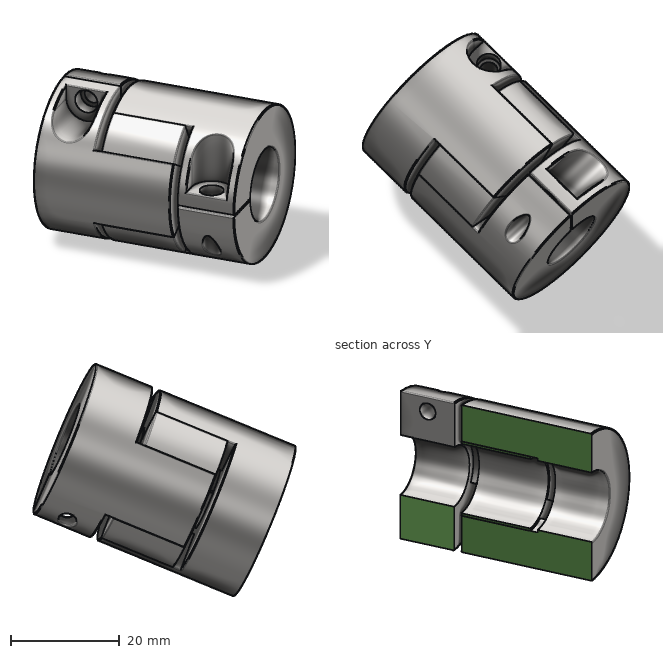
import cadquery as cq
import math


length = 40.0
outer_radius = 15.0
collar_length = 11.3
end_gap = 1.5
edge_radius = 0.2

spider_start = collar_length + end_gap
spider_length = length - 2 * spider_start
jaw_inner_radius = outer_radius / 2
jaw_half_angle = 30.0
leg_half_angle = 45 - jaw_half_angle
left_bore_radius = 6.0
right_bore_radius = 7.0
spider_bore_radius = right_bore_radius
jaw_angles = (0, 180)
leg_angles = (45, 135, 225, 315)

slit_width = 0.4
screw_x = collar_length / 2
screw_z = 12.0
clearance_radius = 2.25
tapped_radius = 1.65
pocket_radius = 4.0
pocket_floor_y = -3.0


def tube(start_x, tube_length, outer, inner):
    """Hollow cylinder along X, its seam line at +Z."""
    plane = cq.Plane(origin=(start_x, 0, 0), xDir=(0, 0, 1), normal=(1, 0, 0))
    return cq.Workplane(plane).circle(outer).circle(inner).extrude(tube_length)


def wedge(start_x, wedge_length, centre_angle, half_angle):
    """Triangular prism along X with its tip on the axis, wide enough to cut a sector out of a tube.

    Angles are in degrees from +Y towards +Z.
    """
    reach = 2 * outer_radius
    sides = [math.radians(centre_angle + turn) for turn in (-half_angle, half_angle)]
    corners = [(reach * math.cos(side), reach * math.sin(side)) for side in sides]
    return cq.Workplane("YZ", origin=(start_x, 0, 0)).polyline([(0, 0)] + corners).close().extrude(wedge_length)


def y_cylinder(start_y, end_y, radius):
    """Cylinder along Y on the screw axis."""
    plane = cq.Plane(origin=(screw_x, start_y, screw_z), xDir=(1, 0, 0), normal=(0, 1, 0))
    return cq.Workplane(plane).circle(radius).extrude(end_y - start_y)


def screw_pocket():
    """Round-bottomed recess for the screw head, open outwards on the -Y side and on top."""
    pocket_depth = outer_radius + pocket_floor_y
    round_part = y_cylinder(-outer_radius, pocket_floor_y, pocket_radius)
    open_part = cq.Workplane("XY").box(
        2 * pocket_radius, pocket_depth, outer_radius, centered=(True, False, False)
    ).translate((screw_x, -outer_radius, screw_z))
    return round_part.union(open_part)


def make_hub(bore_radius):
    """Left-hand hub: collar at the origin, jaws on +Y and -Y, clamp slit on +Z."""
    hub = tube(0, collar_length, outer_radius, bore_radius)
    hub = hub.faces("<X").edges(cq.selectors.RadiusNthSelector(0)).fillet(edge_radius)

    jaw_length = end_gap + spider_length
    jaw_ring = tube(collar_length, jaw_length, outer_radius, jaw_inner_radius)
    for centre_angle in jaw_angles:
        jaw_sector = wedge(collar_length, jaw_length, centre_angle, jaw_half_angle)
        hub = hub.union(jaw_ring.intersect(jaw_sector))

    slit = cq.Workplane("XY").box(collar_length, slit_width, outer_radius, centered=(False, True, False))
    clearance_hole = y_cylinder(pocket_floor_y, 0, clearance_radius)
    tapped_hole = y_cylinder(0, outer_radius, tapped_radius)
    hub = hub.cut(slit).cut(screw_pocket()).cut(clearance_hole).cut(tapped_hole)

    outer_face = max(hub.faces().vals(), key=lambda face: face.Area())
    return hub.newObject(outer_face.Edges()).fillet(edge_radius)


def make_spider():
    """Thin ring inside the jaws with four legs that fill the spaces between them."""
    spider = tube(spider_start, spider_length, jaw_inner_radius, spider_bore_radius)
    leg_ring = tube(spider_start, spider_length, outer_radius, jaw_inner_radius)
    for centre_angle in leg_angles:
        leg_sector = wedge(spider_start, spider_length, centre_angle, leg_half_angle)
        spider = spider.union(leg_ring.intersect(leg_sector))

    return spider.edges(cq.selectors.RadiusNthSelector(-1)).fillet(edge_radius)


left_hub = make_hub(left_bore_radius)

middle = (length / 2, 0, 0)
right_hub = make_hub(right_bore_radius).rotate(middle, (length / 2, 0.4, -0.4), 180)

spider = make_spider()

result = cq.Compound.makeCompound([left_hub.solids().val(), right_hub.solids().val(), spider.solids().val()])